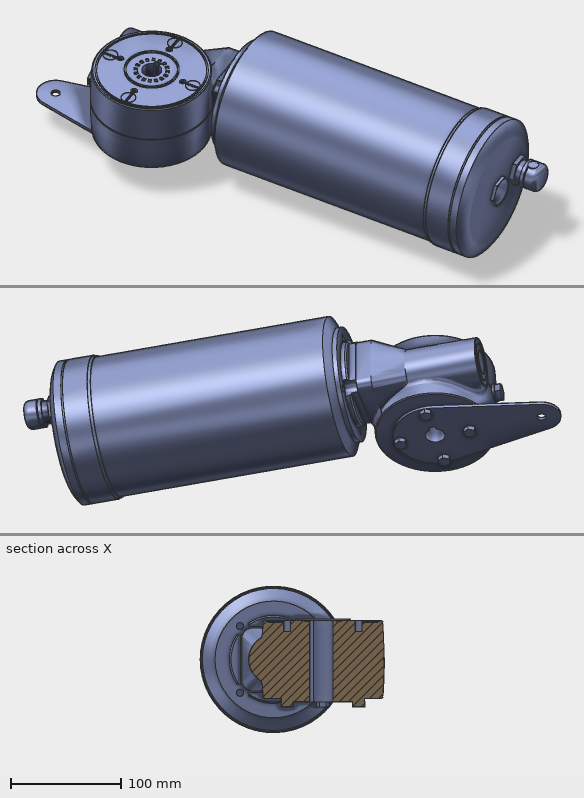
import cadquery as cq
import math

overlap = 1.0
axis_offset = 45.0

rim_radius = 54.5
belly_radius = 55.78
housing_half_height = 35.5
rim_chamfer = 1.0
seam_width = 1.0
seam_depth = 0.3
lid_radius = 51.5
lid_groove_width = 1.5
lid_groove_depth = 0.6
collar_outer_diameter = 50.0
collar_inner_diameter = 47.0
collar_height = 1.4
bore_diameter = 18.0
keyway_width = 6.0
keyway_reach = 11.8
spline_outer_diameter = 32.5
spline_inner_diameter = 26.0
spline_count = 16
spline_depth = 1.0

fastener_count = 4
quarter_turn = 360.0 / fastener_count
hexagon_sides = 6
flat_angle = 180.0 / hexagon_sides
bolt_circle_diameter = 65.0
lid_hole_diameter = 6.0
lid_hole_depth = 10.0
lid_screw_circle_diameter = 86.0
lid_screw_diameter = 13.4
lid_screw_recess = 0.5
driver_slot_width = 1.6
driver_slot_depth = 1.5

arm_thickness = 3.0
arm_reach = 100.0
arm_end_radius = 17.5
arm_hub_radius = 38.0
arm_hole_diameter = 8.2
arm_screw_flats = 10.0
arm_screw_head = 4.5

plug_end = -62.8
plug_hex_start = -57.5
plug_flats = 14.0
plug_collar_diameter = 17.0

tube_diameter = 45.0
tube_start = -55.5
tube_end = 11.0
tube_chamfer = 0.8
tube_blend_radius = 6.5
tube_groove_diameters = (35.0, 23.0)
tube_groove_width = 0.6
tube_groove_depth = 0.4
block_start = 41.0
block_end = 55.0
block_width = 57.0
block_corner_radius = 9.0
block_blend_radius = 6.0
neck_end = 61.0
neck_width = 60.0
flange_diameter = 80.0
flange_end = 66.5
flange_chamfer = 1.5
bolt_offset = 30.3
bolt_clearance_radius = 8.2
bolt_hole_diameter = 6.5
bolt_hole_depth = 5.0

shoulder_radius = 53.0
shoulder_end = 70.8
motor_diameter = 129.0
motor_body_start = 76.7
cap_start = 294.8
cap_diameter = 133.0
cap_lip_width = 2.8
cap_lip_depth = 0.8
cap_groove_start = 320.7
cap_groove_width = 1.6
cap_groove_depth = 0.4
cap_round_start = 329.5
cap_face_radius = 52.0
cap_face = 336.0
cap_round_mid = (333.3, 60.8)

end_hex_flats = 25.0
end_plug_hex_end = 339.0
end_plug_tip = 343.0
gland_offset = 33.7
gland_base_end = 340.3
gland_neck_diameter = 21.5
gland_nut_start = 346.3
gland_groove_start = 349.8
gland_groove_width = 1.0
gland_groove_depth = 0.6
gland_diameter = 26.6
gland_round_start = 358.0
gland_end = 363.5
gland_end_radius = 8.5
gland_boss_diameter = 10.0
gland_boss_center = 353.5


def cylinder_x(start, end, diameter, y):
    """Cylinder parallel to X between two X positions."""
    return (
        cq.Workplane("YZ", origin=(start, y, 0))
        .circle(diameter / 2)
        .extrude(end - start)
    )


def hexagon_x(start, end, flats, y, turn=0.0):
    """Hexagonal prism parallel to X, with corners on +Y and -Y when turn is zero."""
    corners = flats / math.cos(math.radians(flat_angle))
    prism = cq.Workplane("YZ", origin=(start, y, 0)).polygon(hexagon_sides, corners).extrude(end - start)
    return prism.rotate((0, y, 0), (1, y, 0), turn)


def revolve_x(profile, y):
    """Turn a closed profile drawn as (x, radius) about an axis parallel to X."""
    return profile.close().revolve(360, (0, 0, 0), (1, 0, 0)).translate((0, y, 0))


def ring_z(bottom, height, outer_diameter, inner_diameter):
    """Flat ring about the output axis."""
    return (
        cq.Workplane("XY", origin=(0, 0, bottom))
        .circle(outer_diameter / 2)
        .circle(inner_diameter / 2)
        .extrude(height)
    )


def housing_barrel():
    """Barrel about the output axis, widest at the split plane."""
    half = housing_half_height
    return (
        cq.Workplane("XZ")
        .moveTo(0, -half)
        .lineTo(rim_radius - rim_chamfer, -half)
        .lineTo(rim_radius, -half + rim_chamfer)
        .threePointArc((belly_radius, 0), (rim_radius, half - rim_chamfer))
        .lineTo(rim_radius - rim_chamfer, half)
        .lineTo(0, half)
        .close()
        .revolve(360, (0, 0, 0), (0, 1, 0))
    )


def block_section():
    """Square section with rounded corners, centred on the motor axis."""
    return cq.Sketch().rect(block_width, block_width).vertices().fillet(block_corner_radius)


def blended_crossing(section, blend_radius, start, end):
    """Barrel filleted to a bar along the motor axis, kept only between two X positions."""
    half = housing_half_height
    bar_length = 4 * belly_radius
    bar = (
        cq.Workplane("YZ", origin=(-bar_length / 2, axis_offset, 0))
        .placeSketch(section)
        .extrude(bar_length)
    )
    side_zone = cq.selectors.BoxSelector(
        (-belly_radius, rim_chamfer, rim_chamfer - half),
        (belly_radius, belly_radius, half - rim_chamfer),
        boundingbox=True,
    )
    blended = housing_barrel().union(bar).edges(side_zone).fillet(blend_radius)
    kept_zone = (
        cq.Workplane("XY", origin=((start + end) / 2, axis_offset, 0))
        .box(end - start, 2 * axis_offset, 2 * half)
    )
    return blended.intersect(kept_zone)


def gearbox_housing():
    """Barrel with the worm tube and the motor block blended into its side."""
    tube_section = cq.Sketch().circle(tube_diameter / 2)
    collar = ring_z(
        housing_half_height, collar_height, collar_outer_diameter, collar_inner_diameter
    )
    return (
        housing_barrel()
        .union(blended_crossing(tube_section, tube_blend_radius, tube_start + tube_chamfer, block_end))
        .union(blended_crossing(block_section(), block_blend_radius, block_start, block_end))
        .union(collar)
    )


def lid_groove():
    """Shallow groove around the lid."""
    half = housing_half_height
    return ring_z(
        half - lid_groove_depth,
        lid_groove_depth,
        2 * lid_radius,
        2 * (lid_radius - lid_groove_width),
    )


def worm_tube():
    """Worm tube with ring grooves in its end face."""
    tube = cylinder_x(tube_start, tube_end, tube_diameter, axis_offset)
    tube = tube.faces("<X").chamfer(tube_chamfer)
    for diameter in tube_groove_diameters:
        groove = cylinder_x(tube_start, tube_start + tube_groove_depth, diameter, axis_offset)
        core = cylinder_x(
            tube_start,
            tube_start + tube_groove_depth,
            diameter - 2 * tube_groove_width,
            axis_offset,
        )
        tube = tube.cut(groove.cut(core))
    return tube


def flange_bolt_cuts(start, end, diameter):
    """Four cylinders at the corners of a square around the motor axis."""
    return (
        cq.Workplane("YZ", origin=(start, axis_offset, 0))
        .rect(2 * bolt_offset, 2 * bolt_offset, forConstruction=True)
        .vertices()
        .circle(diameter / 2)
        .extrude(end - start)
    )


def motor_block():
    """Round-to-square transition, block, neck and bolted flange."""
    round_section = cq.Sketch().circle(tube_diameter / 2)
    square_section = block_section().moved(cq.Location((0, 0, block_start - tube_end)))
    transition = (
        cq.Workplane("YZ", origin=(tube_end, axis_offset, 0))
        .placeSketch(round_section, square_section)
        .loft()
    )
    block = (
        cq.Workplane("YZ", origin=(block_start, axis_offset, 0))
        .placeSketch(block_section())
        .extrude(block_end - block_start)
    )
    neck = (
        cq.Workplane("YZ", origin=(block_end, axis_offset, 0))
        .rect(neck_width, neck_width)
        .extrude(neck_end - block_end)
    )
    flange = cylinder_x(neck_end, flange_end + overlap, flange_diameter, axis_offset)
    flange = flange.faces("<X").chamfer(flange_chamfer)
    mount = neck.union(flange)
    mount = mount.cut(flange_bolt_cuts(block_end, flange_end + overlap, 2 * bolt_clearance_radius))
    return transition.union(block).union(mount)


def motor():
    """Motor body, shoulder and end cap turned about the motor axis."""
    motor_radius = motor_diameter / 2
    cap_radius = cap_diameter / 2
    groove_end = cap_groove_start + cap_groove_width
    profile = (
        cq.Workplane("XY")
        .moveTo(flange_end, 0)
        .lineTo(flange_end, shoulder_radius)
        .lineTo(shoulder_end, shoulder_radius)
        .lineTo(motor_body_start, motor_radius)
        .lineTo(cap_start, motor_radius)
        .lineTo(cap_start, cap_radius - cap_lip_depth)
        .lineTo(cap_start + cap_lip_width, cap_radius - cap_lip_depth)
        .lineTo(cap_start + cap_lip_width, cap_radius)
        .lineTo(cap_groove_start, cap_radius)
        .lineTo(cap_groove_start, cap_radius - cap_groove_depth)
        .lineTo(groove_end, cap_radius - cap_groove_depth)
        .lineTo(groove_end, cap_radius)
        .lineTo(cap_round_start, cap_radius)
        .threePointArc(cap_round_mid, (cap_face, cap_face_radius))
        .lineTo(cap_face, 0)
    )
    body = revolve_x(profile, axis_offset)
    return body.cut(flange_bolt_cuts(flange_end, flange_end + bolt_hole_depth, bolt_hole_diameter))


def end_plug():
    """Hexagonal plug with a domed head on the motor axis."""
    hex_body = hexagon_x(cap_face - overlap, end_plug_hex_end, end_hex_flats, axis_offset)
    rim = end_hex_flats / 2
    rise = end_plug_tip - end_plug_hex_end
    dome_radius = (rim**2 + rise**2) / (2 * rise)
    mid_angle = math.asin(rim / dome_radius) / 2
    dome_center = end_plug_tip - dome_radius
    mid_point = (
        dome_center + dome_radius * math.cos(mid_angle),
        dome_radius * math.sin(mid_angle),
    )
    profile = (
        cq.Workplane("XY")
        .moveTo(end_plug_hex_end - overlap, 0)
        .lineTo(end_plug_hex_end - overlap, rim)
        .lineTo(end_plug_hex_end, rim)
        .threePointArc(mid_point, (end_plug_tip, 0))
    )
    return hex_body.union(revolve_x(profile, axis_offset))


def cable_gland():
    """Turned gland on a hexagonal base, with a flat round boss on top."""
    gland_y = axis_offset + gland_offset
    nut_radius = gland_diameter / 2
    neck_radius = gland_neck_diameter / 2
    groove_radius = nut_radius - gland_groove_depth
    groove_end = gland_groove_start + gland_groove_width
    arc_mid = (
        gland_round_start + (gland_end - gland_round_start) * math.sin(math.pi / 4),
        gland_end_radius + (nut_radius - gland_end_radius) * math.cos(math.pi / 4),
    )
    profile = (
        cq.Workplane("XY")
        .moveTo(cap_face - overlap, 0)
        .lineTo(cap_face - overlap, neck_radius)
        .lineTo(gland_nut_start, neck_radius)
        .lineTo(gland_nut_start, nut_radius)
        .lineTo(gland_groove_start, nut_radius)
        .lineTo(gland_groove_start, groove_radius)
        .lineTo(groove_end, groove_radius)
        .lineTo(groove_end, nut_radius)
        .lineTo(gland_round_start, nut_radius)
        .threePointArc(arc_mid, (gland_end, gland_end_radius))
        .lineTo(gland_end, 0)
    )
    base = hexagon_x(cap_face - overlap, gland_base_end, end_hex_flats, gland_y)
    boss = (
        cq.Workplane("XY", origin=(gland_boss_center, gland_y, 0))
        .circle(gland_boss_diameter / 2)
        .extrude(nut_radius)
    )
    return revolve_x(profile, gland_y).union(base).union(boss)


def filler_plug():
    """Hexagonal plug and its collar on the housing side."""
    collar = cylinder_x(plug_hex_start, -rim_radius + overlap, plug_collar_diameter, 0)
    head = hexagon_x(plug_end, plug_hex_start, plug_flats, 0, turn=flat_angle)
    return collar.union(head)


def mounting_arm():
    """Tapered plate, tangent to its hub and end rounds, with four hexagonal screw heads."""
    top = -housing_half_height
    tilt = math.asin((arm_hub_radius - arm_end_radius) / arm_reach)
    side_x = -math.sin(tilt)
    side_y = math.cos(tilt)
    end_x = -arm_reach + arm_end_radius * side_x
    end_y = arm_end_radius * side_y
    hub_x = arm_hub_radius * side_x
    hub_y = arm_hub_radius * side_y
    plate = (
        cq.Workplane("XY", origin=(0, 0, top - arm_thickness))
        .moveTo(end_x, -end_y)
        .lineTo(hub_x, -hub_y)
        .threePointArc((arm_hub_radius, 0), (hub_x, hub_y))
        .lineTo(end_x, end_y)
        .threePointArc((-arm_reach - arm_end_radius, 0), (end_x, -end_y))
        .close()
        .extrude(arm_thickness)
    )
    hole = (
        cq.Workplane("XY", origin=(-arm_reach, 0, top - arm_thickness))
        .circle(arm_hole_diameter / 2)
        .extrude(arm_thickness)
    )
    plate = plate.cut(hole)
    for index in range(fastener_count):
        angle = math.radians(index * quarter_turn)
        head = (
            cq.Workplane("XY")
            .polygon(hexagon_sides, arm_screw_flats / math.cos(math.radians(flat_angle)))
            .extrude(-arm_screw_head)
            .rotate((0, 0, 0), (0, 0, 1), flat_angle)
            .translate(
                (
                    bolt_circle_diameter / 2 * math.cos(angle),
                    bolt_circle_diameter / 2 * math.sin(angle),
                    top - arm_thickness,
                )
            )
        )
        plate = plate.union(head)
    return plate


def keyed_bore():
    """Through bore with a keyway on the +Y side."""
    length = 2 * housing_half_height
    bore = cq.Workplane("XY").circle(bore_diameter / 2).extrude(length, both=True)
    keyway = (
        cq.Workplane("XY", origin=(0, keyway_reach / 2, 0))
        .rect(keyway_width, keyway_reach)
        .extrude(length, both=True)
    )
    return bore.union(keyway)


def spline_slots():
    """Ring of shallow slots around the output bore."""
    ring = ring_z(
        housing_half_height - spline_depth,
        spline_depth,
        spline_outer_diameter,
        spline_inner_diameter,
    )
    slot_width = math.pi * spline_inner_diameter / (2 * spline_count)
    slots = cq.Workplane("XY")
    for index in range(spline_count):
        slot = (
            cq.Workplane("XY", origin=(0, 0, housing_half_height - spline_depth))
            .center(spline_outer_diameter / 2, 0)
            .rect(spline_outer_diameter, slot_width)
            .extrude(spline_depth)
            .intersect(ring)
            .rotate((0, 0, 0), (0, 0, 1), index * 360 / spline_count)
        )
        slots = slots.add(slot)
    return slots.combine()


def lid_screw_cuts(index):
    """One recessed slotted lid screw and the bolt hole inboard of it."""
    top = cq.Workplane("XY", origin=(0, 0, housing_half_height))
    screw_center = lid_screw_circle_diameter / 2
    recess = top.center(screw_center, 0).circle(lid_screw_diameter / 2).extrude(-lid_screw_recess)
    slot = (
        top.center(screw_center, 0)
        .rect(lid_screw_diameter, driver_slot_width)
        .extrude(-driver_slot_depth)
    )
    hole = (
        top.center(bolt_circle_diameter / 2, 0)
        .circle(lid_hole_diameter / 2)
        .extrude(-lid_hole_depth)
    )
    return recess.union(slot).union(hole).rotate((0, 0, 0), (0, 0, 1), index * quarter_turn)


def split_seam():
    """Shallow groove around the housing at the split plane."""
    return ring_z(
        -seam_width / 2, seam_width, 2 * belly_radius + overlap, 2 * (belly_radius - seam_depth)
    )


result = gearbox_housing().cut(lid_groove()).cut(split_seam())
for screw in range(fastener_count):
    result = result.cut(lid_screw_cuts(screw))
result = (
    result.union(worm_tube())
    .union(motor_block())
    .union(motor())
    .union(end_plug())
    .union(cable_gland())
    .union(filler_plug())
    .union(mounting_arm())
    .cut(keyed_bore())
    .cut(spline_slots())
)